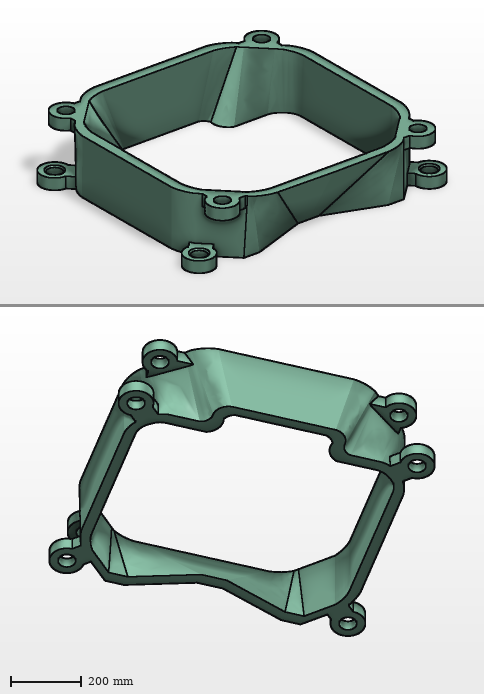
import cadquery as cq
import math

height = 200.0
half_width = 420.0
wall = 35.0
inner_half_width = half_width - wall
flat_half = 203.0
chamfer_x, chamfer_y = 392.0, 275.0
inner_chamfer_x, inner_chamfer_y = 362.0, 269.0
chamfer_split = 15.0
right_split = 10.0
outer_bulge, inner_bulge = 4.0, 3.0
right_side_bow = 3.0

lower_half_depth = 417.0
lower_inner_half_depth = 385.0
lower_flat_left, lower_flat_right = -209.0, 200.0
left_face_x = -399.0
left_face_half = 155.0
left_inner_x = -369.0
left_inner_half = 136.0
notch_x = -315.0
notch_inner_x = notch_x + wall
notch_start, notch_end = 225.0, 320.0
notch_inner_start, notch_inner_end = 195.0, 317.0
left_bend, shoulder, shoulder_bend = (-385.0, 184.0), (-354.0, 197.0), (-330.0, 203.0)
left_inner_bend, inner_shoulder, inner_shoulder_bend = (-358.0, 154.0), (-345.0, 162.0), (-298.0, 171.0)
corner_bend, corner_point, corner_end_bend = (-305.0, 350.0), (-285.0, 375.0), (-254.0, 402.0)
inner_corner_bend, inner_corner_point = (-275.0, 338.0), (-263.0, 356.0)
inner_corner_end_bend = (-237.0, 379.0)
right_bend = (236.0, 409.0)
right_inner_bend = (236.0, 379.0)
right_corner_x = 374.0
right_inner_corner_x = right_corner_x - wall
right_corner_far, right_corner_near = 292.0, 235.0
tongue_x = 303.0
tongue_inner_x = tongue_x - wall
tongue_half = 38.0

lug_radius = 50.0
lug_thickness = 40.0
bolt_hole_diameter = 50.0
upper_lug_offset = 357.0
upper_web_offset = 377.0
upper_web_length = 130.0
lower_lug_x, lower_lug_y = 330.0, 420.0
lower_web_width = lug_radius * math.sqrt(2)
lower_web_length = 85.0
lower_hole_chamfer = 5.0


def line(*end):
    return lambda sketch: sketch.lineTo(*end)


def arc(middle, end):
    return lambda sketch: sketch.threePointArc(middle, end)


def upper_outline(half, corner_x, corner_y, right_bow, bulge):
    """Square with 45-degree corners whose ends are blended into the sides by arcs."""
    middle_across = (half + corner_x) / 2 + bulge
    middle_along = (flat_half + corner_y) / 2 + bulge
    return (-half, 0), [
        line(-half, flat_half),
        arc((-middle_across, middle_along), (-corner_x, corner_y)),
        line(-corner_x + chamfer_split, corner_y + chamfer_split),
        line(-corner_y - chamfer_split, corner_x - chamfer_split),
        line(-corner_y, corner_x),
        arc((-middle_along, middle_across), (-flat_half, half)),
        line(flat_half, half),
        arc((middle_along, middle_across), (corner_y, corner_x)),
        line(corner_x - right_split, corner_y + right_split),
        line(corner_x, corner_y),
        arc((middle_across - right_bow / 2, middle_along), (half - right_bow, flat_half)),
        line(half, 0),
    ]


outer_top = upper_outline(half_width, chamfer_x, chamfer_y, right_side_bow, outer_bulge)
inner_top = upper_outline(inner_half_width, inner_chamfer_x, inner_chamfer_y, 0.0, inner_bulge)

outer_bottom = (left_face_x, 0), [
    line(left_face_x, left_face_half),
    arc(left_bend, shoulder),
    arc(shoulder_bend, (notch_x, notch_start)),
    line(notch_x, notch_end),
    arc(corner_bend, corner_point),
    arc(corner_end_bend, (lower_flat_left, lower_half_depth)),
    line(lower_flat_right, lower_half_depth),
    arc(right_bend, (chamfer_y, chamfer_x)),
    line(right_corner_x, right_corner_far),
    line(right_corner_x, right_corner_near),
    line(tongue_x, tongue_half),
    line(tongue_x, 0),
]
inner_bottom = (left_inner_x, 0), [
    line(left_inner_x, left_inner_half),
    arc(left_inner_bend, inner_shoulder),
    arc(inner_shoulder_bend, (notch_inner_x, notch_inner_start)),
    line(notch_inner_x, notch_inner_end),
    arc(inner_corner_bend, inner_corner_point),
    arc(inner_corner_end_bend, (lower_flat_left, lower_inner_half_depth)),
    line(lower_flat_right, lower_inner_half_depth),
    arc(right_inner_bend, (inner_chamfer_y, inner_chamfer_x)),
    line(right_inner_corner_x, right_corner_far),
    line(right_inner_corner_x, right_corner_near),
    line(tongue_inner_x, tongue_half),
    line(tongue_inner_x, 0),
]


def draw(plane, outline):
    start, pieces = outline
    sketch = plane.moveTo(*start)
    for piece in pieces:
        sketch = piece(sketch)
    return sketch.close()


def ruled_body(bottom, top):
    """Solid between two outlines, made as a half and mirrored in Y."""
    lower = draw(cq.Workplane("XY"), bottom)
    half = draw(lower.workplane(offset=height), top).loft(ruled=True)
    return half.union(half.mirror("XZ"))


def disc(radius, x, y, z):
    return cq.Workplane("XY").circle(radius).extrude(lug_thickness).translate((x, y, z))


def upper_lug():
    """Lug disc with a triangular web filling the rim corner."""
    z = height - lug_thickness
    web_start = upper_web_offset - upper_web_length
    web = (
        cq.Workplane("XY").workplane(offset=z)
        .moveTo(upper_web_offset, web_start)
        .lineTo(upper_web_offset, upper_web_offset)
        .lineTo(web_start, upper_web_offset)
        .close()
        .extrude(lug_thickness)
    )
    return web.union(disc(lug_radius, upper_lug_offset, upper_lug_offset, z))


def upper_hole():
    return disc(bolt_hole_diameter / 2, upper_lug_offset, upper_lug_offset, height - lug_thickness)


def lower_lug():
    """Lug disc with a straight web running diagonally into the wall."""
    web = (
        cq.Workplane("XY").rect(lower_web_length, lower_web_width).extrude(lug_thickness)
        .translate((-lower_web_length / 2, 0, 0))
        .rotate((0, 0, 0), (0, 0, 1), 45)
        .translate((lower_lug_x, lower_lug_y, 0))
    )
    return web.union(disc(lug_radius, lower_lug_x, lower_lug_y, 0))


def lower_hole():
    radius = bolt_hole_diameter / 2
    countersink = (
        cq.Workplane("XY").circle(radius + lower_hole_chamfer).extrude(-lower_hole_chamfer, taper=45)
        .translate((lower_lug_x, lower_lug_y, lug_thickness))
    )
    return disc(radius, lower_lug_x, lower_lug_y, 0).union(countersink)


def at_four_corners(body):
    pair = body.union(body.mirror("YZ"))
    return pair.union(pair.mirror("XZ"))


outer = ruled_body(outer_bottom, outer_top)
inner = ruled_body(inner_bottom, inner_top)
lugs = at_four_corners(upper_lug()).union(at_four_corners(lower_lug()))
holes = at_four_corners(upper_hole()).union(at_four_corners(lower_hole()))
result = outer.union(lugs).cut(inner).cut(holes)